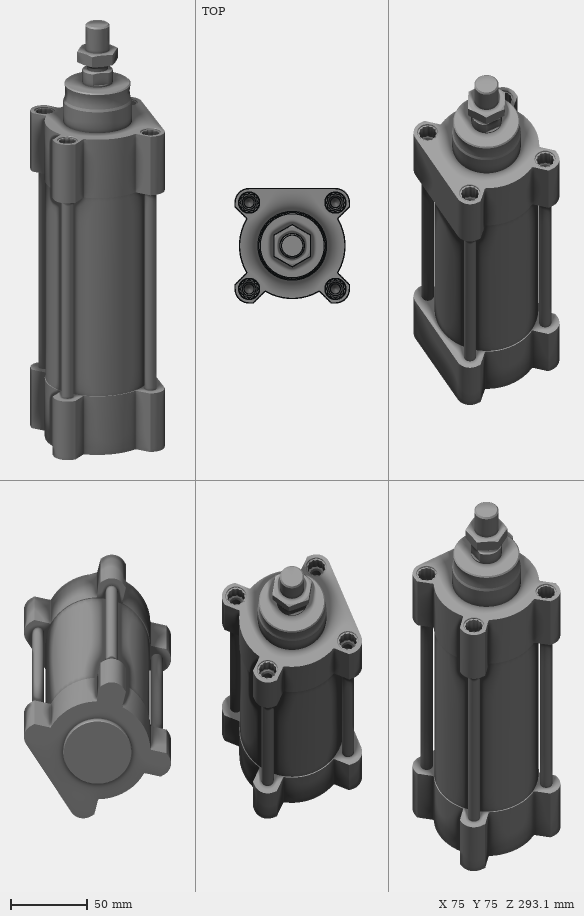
import cadquery as cq
import math


edge_tolerance = 0.01

cap_width = 75.0
cap_round_diameter = 69.2
cap_height = 41.0
cap_spacing = 139.0
tube_diameter = 68.0
tie_rod_diameter = 8.0
tie_rod_pitch = 56.5
lug_neck_width = 17.0
lug_root_fillet = 0.8
upper_cap_bottom = cap_height + cap_spacing
upper_cap_top = upper_cap_bottom + cap_height

spigot_diameter = 45.0
spigot_height = 4.0
spigot_chamfer = 0.5

collar_diameter = 45.0
collar_rim_diameter = 43.5
collar_waist_diameter = 42.2
collar_base_height = 14.5
collar_cone_height = 1.7
collar_height = 27.2
collar_edge_chamfer = 0.8
collar_top = upper_cap_top + collar_height

recess_diameter = 13.2
recess_mouth_diameter = 13.9
recess_depth = 1.0
socket_corner_diameter = 12.0
socket_depth = 12.0
screw_bore_diameter = 6.65
screw_bore_mouth_diameter = 8.8
screw_bore_depth = 20.0
drill_point_angle = 118.0

rod_diameter = 20.0
overall_length = 293.1
rod_tip = overall_length - spigot_height
thread_diameter = 16.0
thread_length = 31.2
rod_tip_chamfer = 1.0
undercut_diameter = 13.9
undercut_length = 3.8
thread_runout_angle = 30.0
rod_shoulder = rod_tip - thread_length
rod_shoulder_chamfer_width = 2.2
rod_shoulder_chamfer_height = 0.8
wrench_flat_width = 17.0
wrench_flat_gap = 1.0

nut_width = 24.0
nut_height = 8.0
thread_above_nut = 17.9
nut_top = rod_tip - thread_above_nut
nut_bottom = nut_top - nut_height
nut_chamfer_angle = 15.0


def cylinder(diameter, bottom, height):
    return cq.Workplane("XY").workplane(offset=bottom).circle(diameter / 2).extrude(height)


def tie_rod_centres():
    half_pitch = tie_rod_pitch / 2
    return [(x, y) for x in (-half_pitch, half_pitch) for y in (-half_pitch, half_pitch)]


def corner_lug(bottom):
    """Corner lug on the +X, +Y diagonal: a round nose on a narrower neck that runs to the axis."""
    half_width = cap_width / 2
    nose = tie_rod_pitch / 2
    nose_radius = half_width - nose
    nose_mid = nose + nose_radius * math.sqrt(0.5)
    neck_offset = lug_neck_width * math.sqrt(0.5)
    return (
        cq.Workplane("XY").workplane(offset=bottom)
        .moveTo(neck_offset, 0)
        .lineTo(half_width, half_width - neck_offset)
        .lineTo(half_width, nose)
        .threePointArc((nose_mid, nose_mid), (nose, half_width))
        .lineTo(half_width - neck_offset, half_width)
        .lineTo(0, neck_offset)
        .close()
        .extrude(cap_height)
    )


def is_lug_root(edge):
    """True for an upright edge where a lug neck meets the round side of a cap."""
    centre = edge.Center()
    on_round_side = abs(math.hypot(centre.x, centre.y) - cap_round_diameter / 2) < edge_tolerance
    on_lug_neck = abs(abs(abs(centre.x) - abs(centre.y)) - lug_neck_width * math.sqrt(0.5)) < edge_tolerance
    return on_round_side and on_lug_neck


def end_cap(bottom):
    """Round cap with four corner lugs and a flat +Y side that fills the space between two of them."""
    cap = cylinder(cap_round_diameter, bottom, cap_height)
    for quarter_turn in range(4):
        cap = cap.union(corner_lug(bottom).rotate((0, 0, 0), (0, 0, 1), 90 * quarter_turn))
    flat_side = (
        cq.Workplane("XY").workplane(offset=bottom)
        .rect(tie_rod_pitch, cap_width / 2, centered=(True, False))
        .extrude(cap_height)
    )
    cap = cap.union(flat_side)
    lug_roots = cap.edges("|Z").filter(is_lug_root)
    return lug_roots.fillet(lug_root_fillet)


def collar():
    """Collar with a conical shoulder and a slightly waisted upper band."""
    radius = collar_diameter / 2
    rim_radius = collar_rim_diameter / 2
    band_bottom = collar_base_height + collar_cone_height
    band_top = collar_height - collar_edge_chamfer
    profile = (
        cq.Workplane("XZ", origin=(0, 0, upper_cap_top))
        .lineTo(radius, 0)
        .lineTo(radius, collar_base_height)
        .lineTo(rim_radius, band_bottom)
        .threePointArc((collar_waist_diameter / 2, (band_bottom + band_top) / 2), (rim_radius, band_top))
        .lineTo(rim_radius - collar_edge_chamfer, collar_height)
        .lineTo(0, collar_height)
        .close()
    )
    return profile.revolve(360, (0, 0, 0), (0, 1, 0))


def screw_cut():
    """Material removed above and inside one tie rod screw, centred on the Z axis."""
    recess_radius = recess_diameter / 2
    rim_radius = recess_mouth_diameter / 2
    mouth_radius = screw_bore_mouth_diameter / 2
    bore_radius = screw_bore_diameter / 2
    bore_tip = -screw_bore_depth - bore_radius / math.tan(math.radians(drill_point_angle / 2))
    round_cut = (
        cq.Workplane("XZ", origin=(0, 0, upper_cap_top))
        .lineTo(rim_radius, 0)
        .lineTo(recess_radius, recess_radius - rim_radius)
        .lineTo(recess_radius, -recess_depth)
        .lineTo(mouth_radius, -recess_depth)
        .lineTo(mouth_radius, -socket_depth)
        .lineTo(bore_radius, -socket_depth - (mouth_radius - bore_radius))
        .lineTo(bore_radius, -screw_bore_depth)
        .lineTo(0, bore_tip)
        .close()
        .revolve(360, (0, 0, 0), (0, 1, 0))
    )
    hexagon = (
        cq.Workplane("XY").workplane(offset=upper_cap_top - socket_depth)
        .polygon(6, socket_corner_diameter)
        .extrude(socket_depth)
    )
    return round_cut.union(hexagon).union(hexagon.rotate((0, 0, 0), (0, 0, 1), 30))


def make_housing():
    spigot = cylinder(spigot_diameter, -spigot_height, spigot_height)
    spigot = spigot.faces("<Z").chamfer(spigot_chamfer)
    tube = cylinder(tube_diameter, cap_height, cap_spacing)
    body = end_cap(0).union(tube).union(end_cap(upper_cap_bottom)).union(spigot).union(collar())
    for x, y in tie_rod_centres():
        body = body.union(cylinder(tie_rod_diameter, cap_height, cap_spacing).translate((x, y, 0)))
        body = body.cut(screw_cut().translate((x, y, 0)))
    return body


def make_piston_rod():
    """Rod standing on the collar, with two wrench flats facing +X and -X and a threaded end."""
    shank = cylinder(rod_diameter, collar_top, rod_shoulder - collar_top)
    shank = shank.faces(">Z").chamfer(rod_shoulder_chamfer_height, rod_shoulder_chamfer_width)
    flats_bottom = collar_top + wrench_flat_gap
    flats_envelope = (
        cq.Workplane("XY").workplane(offset=flats_bottom)
        .rect(wrench_flat_width, rod_diameter)
        .extrude(rod_shoulder - flats_bottom)
    )
    flatted_shank = shank.intersect(flats_envelope.union(cylinder(rod_diameter, collar_top, wrench_flat_gap)))

    thread_radius = thread_diameter / 2
    undercut_radius = undercut_diameter / 2
    runout_height = (thread_radius - undercut_radius) / math.tan(math.radians(thread_runout_angle))
    thread_end = rod_shoulder + undercut_length
    threaded_end = (
        cq.Workplane("XZ")
        .moveTo(0, rod_shoulder)
        .lineTo(undercut_radius, rod_shoulder)
        .lineTo(undercut_radius, thread_end - runout_height)
        .lineTo(thread_radius, thread_end)
        .lineTo(thread_radius, rod_tip - rod_tip_chamfer)
        .lineTo(thread_radius - rod_tip_chamfer, rod_tip)
        .lineTo(0, rod_tip)
        .close()
        .revolve(360, (0, 0, 0), (0, 1, 0))
    )
    return flatted_shank.union(threaded_end)


def make_lock_nut():
    """Hexagon nut with corners on the Y axis, chamfered at both ends."""
    corner_diameter = nut_width / math.cos(math.pi / 6)
    hexagon = (
        cq.Workplane("XY").workplane(offset=nut_bottom)
        .polygon(6, corner_diameter)
        .extrude(nut_height)
        .rotate((0, 0, 0), (0, 0, 1), 30)
    )
    chamfer_width = (corner_diameter - nut_width) / 2
    chamfer_height = chamfer_width * math.tan(math.radians(nut_chamfer_angle))
    corner_rounding = cylinder(corner_diameter, nut_bottom, nut_height)
    corner_rounding = corner_rounding.faces("<Z or >Z").chamfer(chamfer_height, chamfer_width)
    return hexagon.intersect(corner_rounding).cut(cylinder(thread_diameter, nut_bottom, nut_height))


housing = make_housing()
piston_rod = make_piston_rod()
lock_nut = make_lock_nut()

result = cq.Compound.makeCompound([housing.val(), piston_rod.val(), lock_nut.val()])